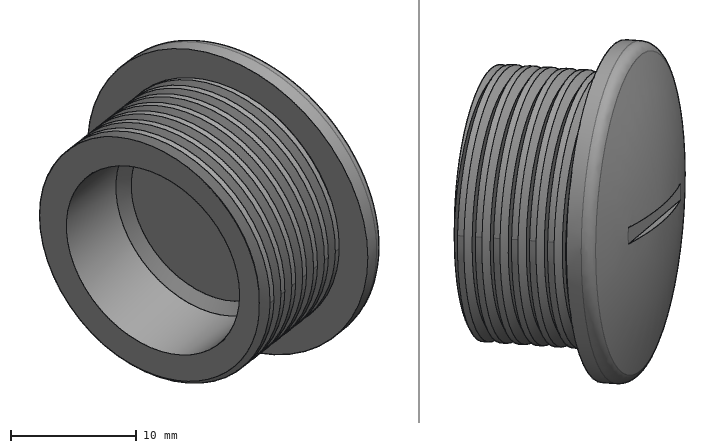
import cadquery as cq

flange_radius = 13.75
flange_side = 1.25
rim_rounding = 1.02
crown_height = 3.93
dome_radius = 49.78

slot_width = 1.35
slot_depth = 0.58

plug_radius = 11.15
plug_length = 10.28

bore_radius = 8.5
floor_cone_height = 0.88
floor_radius = bore_radius - floor_cone_height
bore_depth = 7.7

six_pitches = 9.0
thread_pitch = six_pitches / 6
groove_width = 0.95
groove_depth = 0.72
groove_turns = 9
turns_to_plug_end = 8
groove_start = plug_length - turns_to_plug_end * thread_pitch
groove_overlap = 0.1
rod_allowance = 5.5


def dome_height(radius):
    """Y of the domed surface at a given distance from the axis."""
    return crown_height - dome_radius + (dome_radius**2 - radius**2) ** 0.5


def make_head():
    mid_radius = flange_radius / 2
    head = (
        cq.Workplane("XY")
        .lineTo(flange_radius, 0)
        .lineTo(flange_radius, dome_height(flange_radius))
        .threePointArc((mid_radius, dome_height(mid_radius)), (0, crown_height))
        .close()
        .revolve(360, (0, 0, 0), (0, 1, 0))
    )
    rim = cq.selectors.BoxSelector(
        (-2 * flange_radius, flange_side, -2 * flange_radius),
        (2 * flange_radius, dome_height(flange_radius) + 0.28, 2 * flange_radius),
        boundingbox=True,
    )
    head = head.edges("%CIRCLE").edges(rim).fillet(rim_rounding)
    slot = cq.Workplane("XY").box(2 * flange_radius, 2 * slot_depth, slot_width)
    return head.cut(slot.translate((0, crown_height, 0)))


def make_thread_groove():
    """Left-hand V groove, wound along +Z and then turned to run along -Y."""
    outer_radius = plug_radius + groove_overlap
    half_mouth = groove_width / 2 * (groove_depth + groove_overlap) / groove_depth
    corners = [
        (plug_radius - groove_depth, 0),
        (outer_radius, half_mouth),
        (outer_radius, -half_mouth),
    ]
    helices = [
        cq.Wire.makeHelix(
            thread_pitch, groove_turns * thread_pitch, radius, cq.Vector(0, 0, height), lefthand=True
        )
        for radius, height in corners
    ]
    root, upper, lower = helices
    flanks = [
        cq.Face.makeRuledSurface(first, second)
        for first, second in ((root, upper), (upper, lower), (lower, root))
    ]
    faces = [face for flank in flanks for face in flank.Faces()]
    for end_height in (0, groove_turns * thread_pitch):
        points = [cq.Vector(radius, 0, height + end_height) for radius, height in corners]
        faces.append(cq.Face.makeFromWires(cq.Wire.makePolygon(points, close=True)))
    groove = cq.Workplane(cq.Solid.makeSolid(cq.Shell.makeShell(faces)))
    return groove.translate((0, 0, groove_start)).rotate((0, 0, 0), (1, 0, 0), 90)


def make_plug():
    """Groove an overlong rod so the thread runs out at both ends, then trim it."""
    rod = (
        cq.Workplane("XZ", origin=(0, rod_allowance, 0))
        .circle(plug_radius)
        .extrude(plug_length + 2 * rod_allowance)
    )
    trim = cq.Workplane("XZ").circle(2 * plug_radius).extrude(plug_length)
    return rod.cut(make_thread_groove()).intersect(trim)


def make_bore():
    floor_y = bore_depth - plug_length
    return (
        cq.Workplane("XY")
        .moveTo(0, floor_y)
        .lineTo(floor_radius, floor_y)
        .lineTo(bore_radius, floor_y - floor_cone_height)
        .lineTo(bore_radius, -plug_length)
        .lineTo(0, -plug_length)
        .close()
        .revolve(360, (0, 0, 0), (0, 1, 0))
    )


result = make_head().union(make_plug().cut(make_bore()))